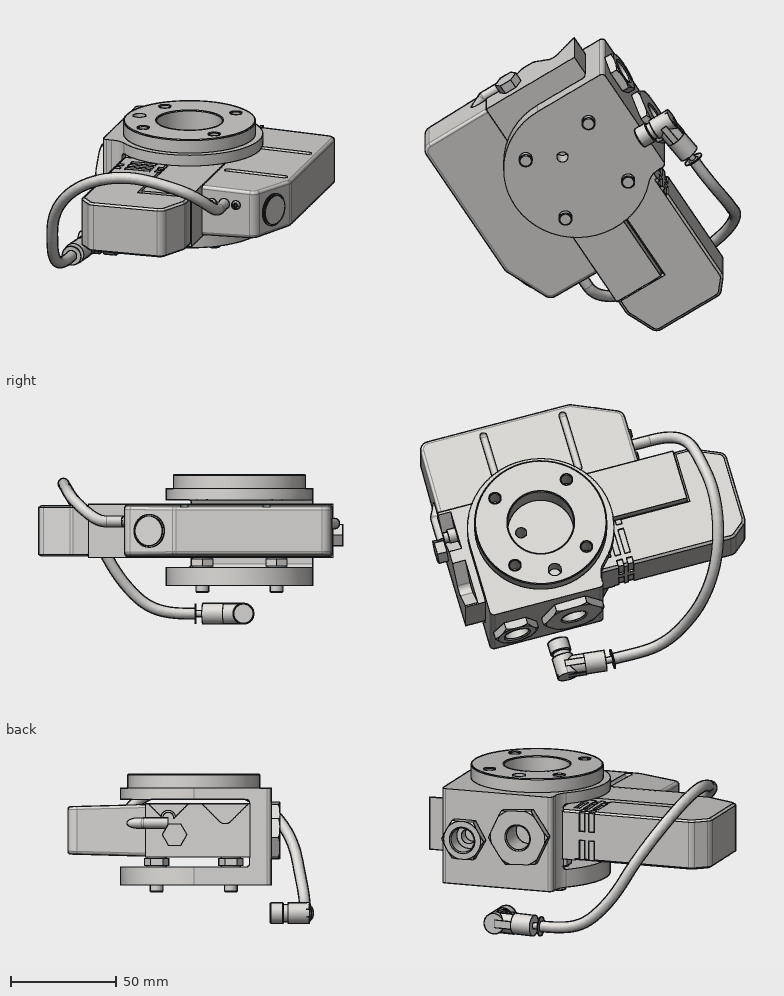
import cadquery as cq
import math


BODY_R = 34.9
BODY_LEFT = -37.0
BODY_FRONT = -21.0
BODY_H = 46.2
BODY_EDGE_R = 2.0
BLEND_X = -32.3
SLOT_WALL_X = -26.5
SLOT_Z0, SLOT_Z1 = 8.7, 40.8
SLOT_FILLET = 1.6

FLANGE_D = 63.0
FLANGE_TOP = 52.9
FLANGE_EDGE = 0.5
BORE_D = 31.5
BOLT_OFFSET = 17.7
BOLT_POINTS = [(x * BOLT_OFFSET, y * BOLT_OFFSET) for x in (-1, 1) for y in (-1, 1)]
BOLT_HOLE_D, BOLT_HOLE_CHAMFER = 5.0, 0.5
DOWEL_D, DOWEL_X, DOWEL_DEPTH = 6.2, -24.9, 7.2
SIGHT_D, SIGHT_POINT = 5.2, (2.5, 9.0)

SCREW_D, SCREW_TIP_Z, SCREW_CHAMFER = 6.2, -3.2, 0.5
SCREW_HEAD_CORNERS, SCREW_HEAD_Z0, SCREW_HEAD_Z1 = 11.7, 9.3, 12.7
SCREW_COLLAR_D = 9.3

MID_Z = 26.1
CORE_H = 25.5
CORE_LEFT, CORE_RIGHT = -26.8, 23.0
CORE_BACK, CORE_STEP_Y, CORE_FRONT = 44.6, -17.8, -71.8
CORE_BOTTOM, CORE_TOP = MID_Z - CORE_H / 2, MID_Z + CORE_H / 2
CASE_H = 24.0
CASE_BOTTOM, CASE_TOP = MID_Z - CASE_H / 2, MID_Z + CASE_H / 2
CASE_BACK, CASE_FRONT, CASE_RIGHT = -19.5, -95.6, 22.6
CASE_CORNER_R, CASE_EDGE_DOWN, CASE_EDGE_IN = 4.0, 0.9, 1.3
NOSE_LEFT_X, NOSE_LEFT_Y = -20.4, -88.0
NOSE_RIGHT_X, NOSE_RIGHT_Y = 15.8, -80.0
SLIT_X0, SLIT_X1, SLIT_BACK = -2.8, -1.7, -29.0

VENT_W, VENT_DEPTH = 2.8, 0.9
VENT_ROWS = (-37.2, -32.5)
HALF_ROW = -27.7
VENT_TOP_SPANS = ((CORE_LEFT, -23.0), (-20.5, -8.1), (-5.6, SLIT_X0))
VENT_SIDE_SPANS = ((CASE_BOTTOM, 23.9), (28.2, CASE_TOP))

NOTCH_FLOOR_Y = 38.4
NOTCH_SPANS = ((-26.1, -3.8), (2.5, 21.7))
NOTCH_BOTTOM_R = 3.8
FITTING_D, FITTING_NECK_D, FITTING_STEP_Y = 7.0, 5.0, 42.3
FITTING_X, FITTING_Z = 12.2, 32.2
REAR_HEX_CORNERS, REAR_HEX_X, REAR_HEX_Z, REAR_HEX_BACK = 11.7, 9.1, 24.0, 49.2
LEAD_D, LEAD_Y, LEAD_Z = 5.0, 45.2, 29.5
LEAD_BEND_X, LEAD_BEND_DIR, LEAD_BEND_L = 23.9, (2, -1, 0), 8.7

HOUSING_RIGHT, HOUSING_BACK, HOUSING_FRONT = 60.0, 44.2, -54.6
HOUSING_BACK_DRAFT = 0.6
HOUSING_CUT_Y, HOUSING_CUT_X = -31.0, 49.5
HOUSING_CORNER_R, HOUSING_EDGE_R = 4.3, 1.5
HOUSING_H_INNER, HOUSING_H_OUTER = 24.6, 22.6
GROOVE_D = 3.5
GROOVE_X0, GROOVE_X1 = 25.6, 56.8
GROOVE_ROWS = (12.9, -26.2)
CAP_D, CAP_RIM_D, CAP_RIM_H, CAP_H = 14.2, 15.6, 0.6, 1.3
PAN_SCREW_D, PAN_SCREW_H, PAN_SCREW_Z = 4.2, 1.5, 30.5
PAN_SCREW_XS = (28.1, 40.0)
CROSS_L, CROSS_W, CROSS_DEPTH = 2.6, 0.7, 0.6

GLAND_H, GLAND_EDGE_H, GLAND_EDGE_W = 4.0, 0.7, 1.3
GLAND_BORE_D, GLAND_BORE_CHAMFER = 11.7, 0.6
SMALL_GLAND = dict(y=23.0, z=22.6, corners=21.3, turn=0.0)
LARGE_GLAND = dict(y=-5.0, z=MID_Z, corners=30.1, turn=-4.5)
GLAND_STEP_D, GLAND_STEP_DEPTH = 7.1, 8.7

CABLE_D = 5.2
CABLE_X, CABLE_Z = 34.0, PAN_SCREW_Z
PLUG_Z = -13.3
CABLE_END = (-52.3, -21.1, PLUG_Z)
CABLE_POINTS = [
    (CABLE_X, -63.3, CABLE_Z),
    (31.0, -73.5, 35.6),
    (23.9, -79.7, 41.9),
    (12.6, -82.3, 45.9),
    (-2.0, -83.7, 48.5),
    (-21.1, -81.7, 45.0),
    (-37.1, -75.6, 34.8),
    (-48.4, -64.2, 15.8),
    (-50.3, -58.8, 6.7),
    (-51.9, -52.6, -1.5),
    (-52.9, -42.0, -10.1),
    CABLE_END,
]
DISC_D, DISC_T = 9.3, 0.5
CORE_WIRE_D = 3.0
ELBOW_X, ELBOW_Y, ELBOW_D = -50.0, 1.9, 9.8
ELBOW_TILT = 6.3
SLEEVE_D, SLEEVE_START, SLEEVE_END = 10.0, 9.4, 19.4
ELBOW_LEFT, ELBOW_RIGHT = -55.0, -44.9
NUT_LEFT, NUT_RIGHT, NUT_NECK_D, NUT_CHAMFER = -42.7, -36.4, 8.3, 0.5
ELBOW_RIB_W, ELBOW_SIDE_RIB_W, SIDE_RIB_TOP = 3.0, 3.8, 4.2


def block(x0, x1, y0, y1, z0, z1):
    """Box between two opposite corners."""
    return cq.Workplane("XY").box(x1 - x0, y1 - y0, z1 - z0, centered=False).translate((x0, y0, z0))


def rod(start, direction, diameter, length):
    """Cylinder from a start point along a direction."""
    solid = cq.Solid.makeCylinder(diameter / 2, length, cq.Vector(*start), cq.Vector(*direction))
    return cq.Workplane(obj=solid)


def hex_prism(start, direction, across, corners, length, turn=0.0):
    """Hexagonal prism along a direction; one corner points along `across`, then turned."""
    plane = cq.Plane(origin=start, xDir=across, normal=direction)
    return cq.Workplane(plane).transformed(rotate=(0, 0, turn)).polygon(6, corners).extrude(length)


def make_body():
    blend_r = (BLEND_X**2 + BODY_FRONT**2 - BODY_R**2) / (2 * (BODY_R + BODY_FRONT))
    blend_cy = BODY_FRONT - blend_r
    scale = BODY_R / (BODY_R + blend_r)
    touch = (BLEND_X * scale, blend_cy * scale)
    angle = (math.radians(90) + math.atan2(-blend_cy, -BLEND_X)) / 2
    blend_mid = (BLEND_X + blend_r * math.cos(angle), blend_cy + blend_r * math.sin(angle))
    body = (
        cq.Workplane("XY")
        .moveTo(0, BODY_R)
        .lineTo(BODY_LEFT, BODY_R)
        .lineTo(BODY_LEFT, BODY_FRONT)
        .lineTo(BLEND_X, BODY_FRONT)
        .threePointArc(blend_mid, touch)
        .threePointArc((BODY_R, 0), (0, BODY_R))
        .close()
        .extrude(BODY_H)
        .edges("|Z and <X")
        .fillet(BODY_EDGE_R)
    )
    slot = block(SLOT_WALL_X, 2 * BODY_R, -2 * BODY_R, 2 * BODY_R, SLOT_Z0, SLOT_Z1)
    body = body.cut(slot.edges("|Y and <X").fillet(SLOT_FILLET))
    flange = (
        cq.Workplane("XY")
        .workplane(offset=BODY_H)
        .circle(FLANGE_D / 2)
        .extrude(FLANGE_TOP - BODY_H)
        .faces(">Z")
        .edges()
        .chamfer(FLANGE_EDGE)
    )
    body = body.union(flange)
    body = body.cut(rod((0, 0, SLOT_Z1), (0, 0, 1), BORE_D, FLANGE_TOP - SLOT_Z1))
    for x, y in BOLT_POINTS:
        body = body.cut(rod((x, y, SLOT_Z1), (0, 0, 1), BOLT_HOLE_D, FLANGE_TOP - SLOT_Z1))
    body = body.faces(">Z").edges(cq.selectors.RadiusNthSelector(0)).chamfer(BOLT_HOLE_CHAMFER)
    mouth = cq.Solid.makeCone(BORE_D / 2, BORE_D / 2 + FLANGE_EDGE, FLANGE_EDGE,
                              cq.Vector(0, 0, FLANGE_TOP - FLANGE_EDGE), cq.Vector(0, 0, 1))
    body = body.cut(cq.Workplane(obj=mouth))
    return body.cut(rod((DOWEL_X, 0, FLANGE_TOP - DOWEL_DEPTH), (0, 0, 1), DOWEL_D, DOWEL_DEPTH))


def make_plate_screws():
    screws = cq.Workplane("XY")
    for x, y in BOLT_POINTS:
        shank = rod((x, y, SCREW_TIP_Z), (0, 0, 1), SCREW_D, SLOT_Z0 - SCREW_TIP_Z)
        collar = rod((x, y, SLOT_Z0), (0, 0, 1), SCREW_COLLAR_D, CORE_BOTTOM - SLOT_Z0)
        head = hex_prism((x, y, SCREW_HEAD_Z0), (0, 0, 1), (1, 0, 0),
                         SCREW_HEAD_CORNERS, SCREW_HEAD_Z1 - SCREW_HEAD_Z0)
        screws = screws.add(shank.faces("<Z").chamfer(SCREW_CHAMFER).union(collar).union(head))
    return screws.combine()


def make_core():
    core = block(CORE_LEFT, CORE_RIGHT, CORE_STEP_Y, CORE_BACK, CORE_BOTTOM, CORE_TOP)
    core = core.union(block(SLIT_X1, CORE_RIGHT, CORE_FRONT, CORE_STEP_Y, CORE_BOTTOM, CORE_TOP))
    for x0, x1 in NOTCH_SPANS:
        depth = (x1 - x0) / 2
        groove = (
            cq.Workplane("XZ", origin=(0, CORE_BACK, CORE_TOP))
            .polyline([(x0, 0), (x1, 0), (x0 + depth, -depth)])
            .close()
            .extrude(CORE_BACK - NOTCH_FLOOR_Y)
            .edges("|Y and <Z")
            .fillet(NOTCH_BOTTOM_R)
        )
        core = core.cut(groove)
    return core


def make_case():
    outline = [
        (CORE_LEFT, CASE_BACK),
        (CORE_LEFT, NOSE_LEFT_Y),
        (NOSE_LEFT_X, CASE_FRONT),
        (NOSE_RIGHT_X, CASE_FRONT),
        (CASE_RIGHT, NOSE_RIGHT_Y),
        (CASE_RIGHT, CORE_FRONT),
        (SLIT_X0, CORE_FRONT),
        (SLIT_X0, CASE_BACK),
    ]
    case = cq.Workplane("XY", origin=(0, 0, CASE_BOTTOM)).polyline(outline).close().extrude(CASE_H)
    nose_back = (NOSE_RIGHT_Y + CORE_FRONT) / 2
    nose = cq.selectors.BoxSelector((2 * CORE_LEFT, 2 * CASE_FRONT, 0), (2 * CASE_RIGHT, nose_back, CORE_TOP))
    case = case.edges("|Z").edges(nose).fillet(CASE_CORNER_R)
    case = case.faces("<Z or >Z").edges().chamfer(CASE_EDGE_DOWN, CASE_EDGE_IN)
    for y in VENT_ROWS:
        y0, y1 = y - VENT_W / 2, y + VENT_W / 2
        for x0, x1 in VENT_TOP_SPANS:
            case = case.cut(block(x0, x1, y0, y1, CASE_TOP - VENT_DEPTH, CASE_TOP))
        for z0, z1 in VENT_SIDE_SPANS:
            case = case.cut(block(CORE_LEFT, CORE_LEFT + VENT_DEPTH, y0, y1, z0, z1))
    x0, x1 = VENT_TOP_SPANS[1]
    y0, y1 = HALF_ROW - VENT_W / 2, HALF_ROW + VENT_W / 2
    half_row = block(x0, x1, y0, y1, CASE_TOP - VENT_DEPTH, CASE_TOP)
    bridge = block(CORE_LEFT, SLIT_X1, SLIT_BACK, CORE_STEP_Y, CASE_BOTTOM, CASE_TOP - VENT_DEPTH)
    return case.union(bridge).cut(half_row)


def make_rear_fittings():
    head = hex_prism((REAR_HEX_X, CORE_BACK, REAR_HEX_Z), (0, 1, 0), (1, 0, 0),
                     REAR_HEX_CORNERS, REAR_HEX_BACK - CORE_BACK)
    fitting = rod((FITTING_X, NOTCH_FLOOR_Y, FITTING_Z), (0, 1, 0),
                  FITTING_D, FITTING_STEP_Y - NOTCH_FLOOR_Y)
    neck = rod((FITTING_X, FITTING_STEP_Y, FITTING_Z), (0, 1, 0),
               FITTING_NECK_D, CORE_BACK - FITTING_STEP_Y)
    straight = rod((FITTING_X, LEAD_Y, LEAD_Z), (1, 0, 0), LEAD_D, LEAD_BEND_X - FITTING_X)
    bend = rod((LEAD_BEND_X, LEAD_Y, LEAD_Z), LEAD_BEND_DIR, LEAD_D, LEAD_BEND_L)
    elbow = cq.Workplane("XY").sphere(LEAD_D / 2).translate((LEAD_BEND_X, LEAD_Y, LEAD_Z))
    return head.union(fitting).union(neck).union(straight).union(elbow).union(bend)


def make_housing():
    plan = (
        cq.Workplane("XY")
        .polyline([
            (CORE_RIGHT, HOUSING_BACK),
            (HOUSING_RIGHT, HOUSING_BACK - HOUSING_BACK_DRAFT),
            (HOUSING_RIGHT, HOUSING_CUT_Y),
            (HOUSING_CUT_X, HOUSING_FRONT),
            (CORE_RIGHT, HOUSING_FRONT),
        ])
        .close()
        .extrude(2 * MID_Z)
        .edges("|Z and (not <X)")
        .fillet(HOUSING_CORNER_R)
    )
    inner, outer = HOUSING_H_INNER / 2, HOUSING_H_OUTER / 2
    wedge = (
        cq.Workplane("XZ", origin=(0, HOUSING_BACK, MID_Z))
        .polyline([(CORE_RIGHT, -inner), (HOUSING_RIGHT, -outer),
                   (HOUSING_RIGHT, outer), (CORE_RIGHT, inner)])
        .close()
        .extrude(HOUSING_BACK - HOUSING_FRONT)
    )
    housing = plan.intersect(wedge)
    return housing.faces("<Z or >Z").edges("not <X").fillet(HOUSING_EDGE_R)


def cut_housing_grooves(solid):
    slope = (HOUSING_H_INNER - HOUSING_H_OUTER) / 2 / (HOUSING_RIGHT - CORE_RIGHT)
    r = GROOVE_D / 2
    for y in GROOVE_ROWS:
        ends = []
        for x in (GROOVE_X0 + r, GROOVE_X1 - r):
            ends.append(cq.Vector(x, y, MID_Z + HOUSING_H_INNER / 2 - slope * (x - CORE_RIGHT)))
        run = ends[1] - ends[0]
        solid = solid.cut(rod(ends[0].toTuple(), run.toTuple(), GROOVE_D, run.Length))
        for end in ends:
            solid = solid.cut(cq.Workplane("XY").sphere(r).translate(end))
    return solid


def make_cap():
    dx, dy = HOUSING_RIGHT - HOUSING_CUT_X, HOUSING_CUT_Y - HOUSING_FRONT
    centre = ((HOUSING_RIGHT + HOUSING_CUT_X) / 2, (HOUSING_CUT_Y + HOUSING_FRONT) / 2, MID_Z)
    outward = (dy, -dx, 0)
    rim = rod(centre, outward, CAP_RIM_D, CAP_RIM_H)
    return rim.union(rod(centre, outward, CAP_D, CAP_H))


def make_pan_screws():
    screws = cq.Workplane("XY")
    tip = HOUSING_FRONT - PAN_SCREW_H
    for x in PAN_SCREW_XS:
        head = rod((x, HOUSING_FRONT, PAN_SCREW_Z), (0, -1, 0), PAN_SCREW_D, PAN_SCREW_H)
        head = head.faces("<Y").fillet(PAN_SCREW_H / 2)
        for w, h in ((CROSS_L, CROSS_W), (CROSS_W, CROSS_L)):
            recess = cq.Workplane("XY").box(w, 2 * CROSS_DEPTH, h)
            head = head.cut(recess.translate((x, tip, PAN_SCREW_Z)))
        screws = screws.add(head)
    return screws.combine()


def make_gland(y, z, corners, turn):
    gland = hex_prism((BODY_LEFT, y, z), (-1, 0, 0), (0, 1, 0), corners, GLAND_H, -turn)
    rounding = rod((BODY_LEFT, y, z), (-1, 0, 0), corners, GLAND_H)
    rounding = rounding.faces("<X").chamfer(GLAND_EDGE_H, GLAND_EDGE_W)
    return gland.intersect(rounding)


def make_gland_bore(y, z, length):
    bore = rod((BODY_LEFT - GLAND_H, y, z), (1, 0, 0), GLAND_BORE_D, length)
    mouth = cq.Solid.makeCone(GLAND_BORE_D / 2 + GLAND_BORE_CHAMFER, GLAND_BORE_D / 2, GLAND_BORE_CHAMFER,
                              cq.Vector(BODY_LEFT - GLAND_H, y, z), cq.Vector(1, 0, 0))
    return bore.union(cq.Workplane(obj=mouth))


def add_glands(body):
    to_slot = SLOT_WALL_X - BODY_LEFT + GLAND_H
    for gland, depth in ((SMALL_GLAND, GLAND_STEP_DEPTH), (LARGE_GLAND, to_slot)):
        body = body.union(make_gland(**gland))
        body = body.cut(make_gland_bore(gland["y"], gland["z"], depth))
    start = (BODY_LEFT - GLAND_H, SMALL_GLAND["y"], SMALL_GLAND["z"])
    return body.cut(rod(start, (1, 0, 0), GLAND_STEP_D, to_slot))


def make_cable():
    stub_length = HOUSING_FRONT - CABLE_POINTS[0][1]
    stub = rod((CABLE_X, HOUSING_FRONT, CABLE_Z), (0, -1, 0), CABLE_D, stub_length)
    path = cq.Workplane("XY").spline(CABLE_POINTS, tangents=[(0, -1, 0), (0, 1, 0)], scale=False)
    profile = cq.Workplane("XZ", origin=CABLE_POINTS[0]).circle(CABLE_D / 2)
    disc = rod(CABLE_END, (0, 1, 0), DISC_D, DISC_T)
    return stub.union(profile.sweep(path)).union(disc)


def make_elbow_plug():
    tilt = math.radians(ELBOW_TILT)
    down = (-math.sin(tilt), -math.cos(tilt), 0)
    corner = (ELBOW_X, ELBOW_Y, PLUG_Z)
    sleeve_top = (ELBOW_X + SLEEVE_START * down[0], ELBOW_Y + SLEEVE_START * down[1], PLUG_Z)
    plug = rod((ELBOW_LEFT, ELBOW_Y, PLUG_Z), (1, 0, 0), SLEEVE_D, ELBOW_RIGHT - ELBOW_LEFT)
    plug = plug.union(rod(corner, down, ELBOW_D, SLEEVE_START))
    plug = plug.union(rod(sleeve_top, down, SLEEVE_D, SLEEVE_END - SLEEVE_START))
    rib = block(-ELBOW_RIB_W / 2, ELBOW_RIB_W / 2, -SLEEVE_START, 0, -SLEEVE_D / 2, SLEEVE_D / 2)
    side_rib = block(-SLEEVE_D / 2, 0, -SLEEVE_START, SIDE_RIB_TOP,
                     -ELBOW_SIDE_RIB_W / 2, ELBOW_SIDE_RIB_W / 2)
    for part in (rib, side_rib):
        plug = plug.union(part.rotate((0, 0, 0), (0, 0, 1), -ELBOW_TILT).translate(corner))
    plug = plug.union(rod((ELBOW_RIGHT, ELBOW_Y, PLUG_Z), (1, 0, 0), NUT_NECK_D, NUT_LEFT - ELBOW_RIGHT))
    nut = rod((NUT_LEFT, ELBOW_Y, PLUG_Z), (1, 0, 0), SLEEVE_D, NUT_RIGHT - NUT_LEFT)
    plug = plug.union(nut.faces("<X or >X").chamfer(NUT_CHAMFER))
    wire = rod(CABLE_END, (0, 1, 0), CORE_WIRE_D, ELBOW_Y - CABLE_END[1])
    return plug.union(wire)


result = (
    add_glands(make_body())
    .union(make_core())
    .union(make_case())
    .union(make_plate_screws())
    .union(make_rear_fittings())
    .union(cut_housing_grooves(make_housing()))
    .union(make_cap())
    .union(make_pan_screws())
    .union(make_cable())
    .union(make_elbow_plug())
    .cut(rod((*SIGHT_POINT, 0), (0, 0, 1), SIGHT_D, FLANGE_TOP))
)